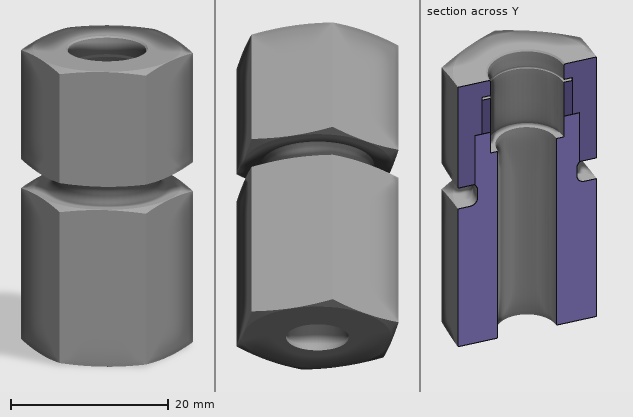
import cadquery as cq
import math

ACROSS_FLATS = 19.0
ACROSS_CORNERS = ACROSS_FLATS / math.cos(math.radians(30))
HEX_TURN = 29.8
FACE_DIAMETER = 18.9
CHAMFER_ANGLE = 15
CHAMFER_HEIGHT = (ACROSS_CORNERS - FACE_DIAMETER) / 2 * math.tan(math.radians(CHAMFER_ANGLE))

TOTAL_HEIGHT = 39.5
BODY_HEX_TOP = 21.0
NUT_BOTTOM = 24.1
SPIGOT_TOP = 31.6
SOCKET_FLOOR = 28.45
NUT_CAVITY_TOP = 37.1
RING_GAP = 0.35
RING_TOP = NUT_CAVITY_TOP - RING_GAP

THROUGH_DIAMETER = 8.0
TUBE_DIAMETER = 10.0
RING_DIAMETER = 12.3
SPIGOT_DIAMETER = 14.38
MOUTH_CHAMFER = 0.2

NECK_DIAMETER = 13.7
NECK_FOOT_RADIUS = 1.0
NECK_SHOULDER_DIAMETER = 14.0
NECK_SHOULDER_ARC_HEIGHT = 0.4
NECK_CONE_ANGLE = 30


def cylinder(diameter, bottom, top):
    """Upright cylinder on the common axis."""
    return cq.Workplane("XY").workplane(offset=bottom).circle(diameter / 2).extrude(top - bottom)


def chamfered_hexagon(bottom, top):
    """Hexagonal prism with its corners turned down conically at both ends."""
    prism = (
        cq.Workplane("XY")
        .workplane(offset=bottom)
        .polygon(6, ACROSS_CORNERS)
        .extrude(top - bottom)
        .rotate((0, 0, 0), (0, 0, 1), HEX_TURN)
    )
    corner_radius = ACROSS_CORNERS / 2
    face_radius = FACE_DIAMETER / 2
    envelope = (
        cq.Workplane("XZ")
        .moveTo(0, bottom)
        .lineTo(face_radius, bottom)
        .lineTo(corner_radius, bottom + CHAMFER_HEIGHT)
        .lineTo(corner_radius, top - CHAMFER_HEIGHT)
        .lineTo(face_radius, top)
        .lineTo(0, top)
        .close()
        .revolve(360, (0, 0, 0), (0, 1, 0))
    )
    return prism.intersect(envelope)


def make_neck_and_spigot():
    """Grooved neck above the body's hexagon, with the spigot that enters the nut."""
    neck_radius = NECK_DIAMETER / 2
    foot_radius = neck_radius + NECK_FOOT_RADIUS
    shoulder_radius = NECK_SHOULDER_DIAMETER / 2
    spigot_radius = SPIGOT_DIAMETER / 2

    fillet_top = BODY_HEX_TOP + NECK_FOOT_RADIUS
    fillet_middle = (
        foot_radius - NECK_FOOT_RADIUS * math.cos(math.radians(45)),
        fillet_top - NECK_FOOT_RADIUS * math.sin(math.radians(45)),
    )
    cone_height = (spigot_radius - shoulder_radius) / math.tan(math.radians(NECK_CONE_ANGLE))
    shoulder_top = NUT_BOTTOM - cone_height
    shoulder_start = shoulder_top - NECK_SHOULDER_ARC_HEIGHT
    return (
        cq.Workplane("XZ")
        .moveTo(0, BODY_HEX_TOP)
        .lineTo(foot_radius, BODY_HEX_TOP)
        .threePointArc(fillet_middle, (neck_radius, fillet_top))
        .lineTo(neck_radius, shoulder_start)
        .tangentArcPoint((shoulder_radius, shoulder_top), relative=False)
        .lineTo(spigot_radius, NUT_BOTTOM)
        .lineTo(spigot_radius, SPIGOT_TOP)
        .lineTo(0, SPIGOT_TOP)
        .close()
        .revolve(360, (0, 0, 0), (0, 1, 0))
    )


def make_body():
    """Lower hexagon and spigot, with a through bore and a tube socket."""
    return (
        chamfered_hexagon(0, BODY_HEX_TOP)
        .union(make_neck_and_spigot())
        .cut(cylinder(THROUGH_DIAMETER, 0, SPIGOT_TOP))
        .cut(cylinder(TUBE_DIAMETER, SOCKET_FLOOR, SPIGOT_TOP))
    )


def make_nut():
    """Union nut that covers the spigot and the ring."""
    tube_hole = cylinder(TUBE_DIAMETER, NUT_BOTTOM, TOTAL_HEIGHT)
    mouth = (
        cq.Workplane("XY")
        .workplane(offset=TOTAL_HEIGHT)
        .circle(TUBE_DIAMETER / 2 + MOUTH_CHAMFER)
        .workplane(offset=-MOUTH_CHAMFER)
        .circle(TUBE_DIAMETER / 2)
        .loft()
    )
    return (
        chamfered_hexagon(NUT_BOTTOM, TOTAL_HEIGHT)
        .cut(tube_hole)
        .cut(mouth)
        .cut(cylinder(SPIGOT_DIAMETER, NUT_BOTTOM, SPIGOT_TOP))
        .cut(cylinder(RING_DIAMETER, SPIGOT_TOP, NUT_CAVITY_TOP))
    )


def make_ring():
    """Clamping ring that sits on the spigot inside the nut."""
    return cylinder(RING_DIAMETER, SPIGOT_TOP, RING_TOP).cut(
        cylinder(TUBE_DIAMETER, SPIGOT_TOP, RING_TOP)
    )


body = make_body()
nut = make_nut()
ring = make_ring()

result = cq.Compound.makeCompound([body.val(), nut.val(), ring.val()])